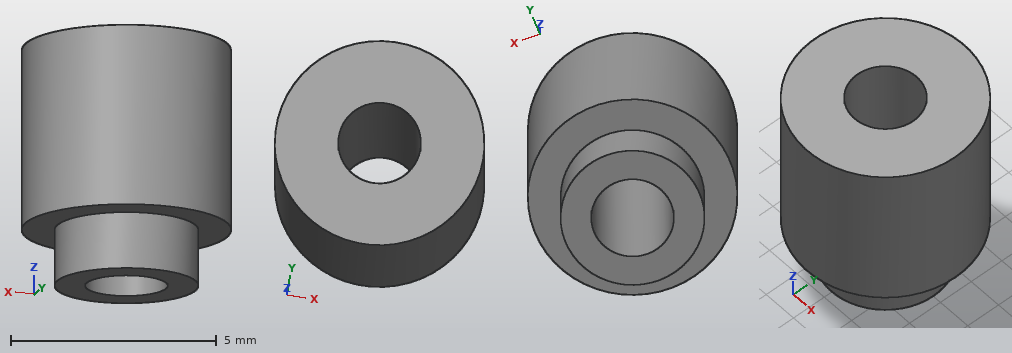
import cadquery as cq

total_height = 5.9
spigot_height = 1.4
body_diameter = 5.1
spigot_diameter = 3.5
bore_diameter = 2.01

body_height = total_height - spigot_height

spigot = cq.Workplane("XY").circle(spigot_diameter / 2).extrude(spigot_height)

stepped_bushing = (
    spigot.faces(">Z").workplane()
    .circle(body_diameter / 2)
    .extrude(body_height)
)

bore = cq.Workplane("XY").circle(bore_diameter / 2).extrude(total_height)

result = stepped_bushing.cut(bore)